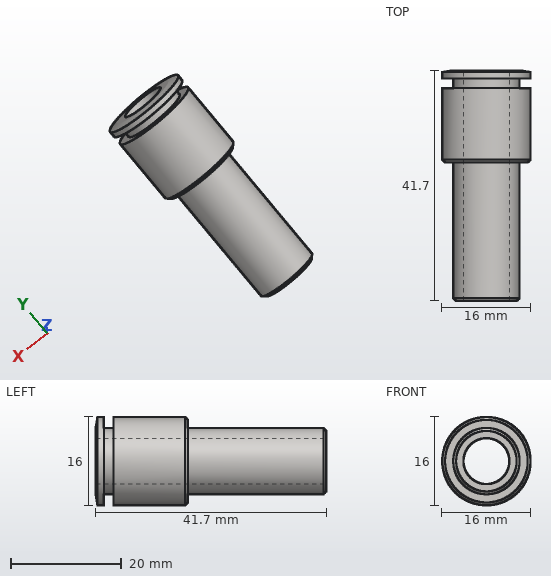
import cadquery as cq

total_length = 41.7
collar_start = 25.0
collar_end = 38.5
flange_start = 40.2
flange_bevel_depth = 0.35

collar_radius = 8.0
stem_radius = 6.0
bore_radius = 4.13
flange_face_radius = 6.0

stem_chamfer = 0.55
collar_chamfer = 0.55

profile = [
    (bore_radius, 0),
    (stem_radius - stem_chamfer, 0),
    (stem_radius, stem_chamfer),
    (stem_radius, collar_start),
    (collar_radius - collar_chamfer, collar_start),
    (collar_radius, collar_start + collar_chamfer),
    (collar_radius, collar_end),
    (stem_radius, collar_end),
    (stem_radius, flange_start),
    (collar_radius, flange_start),
    (collar_radius, total_length - flange_bevel_depth),
    (flange_face_radius, total_length),
    (bore_radius, total_length),
]

result = cq.Workplane("XY").polyline(profile).close().revolve(360, (0, 0, 0), (0, 1, 0))